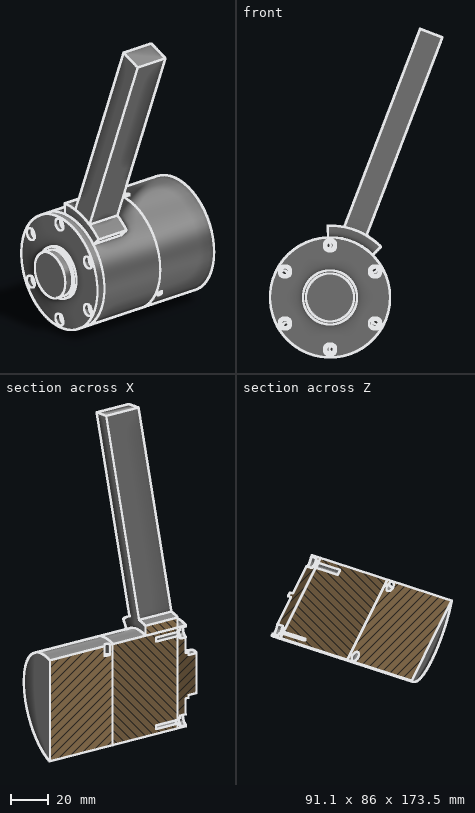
import cadquery as cq
import math


BODY_RADIUS = 63.5 / 2
REAR_LENGTH = 36.83
HUB_LENGTH = 38.1
COVER_THICKNESS = 4.76
HUB_FRONT_Y = -HUB_LENGTH
COVER_FRONT_Y = HUB_FRONT_Y - COVER_THICKNESS

SHAFT_RADIUS = 25.4 / 2
SHOULDER_RADIUS = 28.57 / 2
SHOULDER_LENGTH = 1.59
SHAFT_PROJECTION = 6.35

SCREW_COUNT = 6
SCREW_CIRCLE_RADIUS = 54.9 / 2
SCREW_FIRST_ANGLE = 90
COUNTERBORE_RADIUS = 6.5 / 2
COUNTERBORE_DEPTH = 3.2
CLEARANCE_RADIUS = 4.06 / 2
TAP_RADIUS = 3.45 / 2
TAP_DEPTH = 12.7
HUB_TURN = 2.8

SET_SCREW_COUNT = 3
SET_SCREW_FIRST_ANGLE = 90
SET_SCREW_RADIUS = 3.05 / 2
SET_SCREW_DEPTH = 6.35
SET_SCREW_Y = 3.175

LEVER_WIDTH = 12.7
PAD_DEPTH = 19.05
LEVER_SETBACK = 0.05
LEVER_DEPTH = PAD_DEPTH - LEVER_SETBACK
LEVER_ANGLE = 69.05
LEVER_TIP_RADIUS = 149.4
PAD_RADIUS = BODY_RADIUS + 6.2
PAD_START_ANGLE = 44.8
PAD_END_ANGLE = 92
ROOT_OVERLAP = 4.0


def cylinder(radius, rear_y, length):
    """Solid cylinder on the main axis, from rear_y towards the front."""
    return cq.Workplane("XZ", origin=(0, rear_y, 0)).circle(radius).extrude(length)


def polar(radius, angle):
    """X and Z of a point around the main axis."""
    turn = math.radians(angle)
    return (radius * math.cos(turn), radius * math.sin(turn))


def screw_pattern(radius, front_y, depth, turn=0):
    """Ring of cylinders that reach back by depth from front_y."""
    step = 360 / SCREW_COUNT
    centres = [
        polar(SCREW_CIRCLE_RADIUS, SCREW_FIRST_ANGLE + turn + i * step)
        for i in range(SCREW_COUNT)
    ]
    plane = cq.Workplane("XZ", origin=(0, front_y, 0))
    return plane.pushPoints(centres).circle(radius).extrude(-depth)


def make_rear_housing():
    """Rear cylinder with radial set screw holes close to its front end."""
    housing = cylinder(BODY_RADIUS, REAR_LENGTH, REAR_LENGTH)
    for i in range(SET_SCREW_COUNT):
        angle = SET_SCREW_FIRST_ANGLE + i * 360 / SET_SCREW_COUNT
        x, z = polar(BODY_RADIUS, angle)
        inward_x, inward_z = polar(-1, angle)
        hole = cq.Solid.makeCylinder(
            SET_SCREW_RADIUS,
            SET_SCREW_DEPTH,
            cq.Vector(x, SET_SCREW_Y, z),
            cq.Vector(inward_x, 0, inward_z),
        )
        housing = housing.cut(cq.Workplane(hole))
    return housing.solids()


def make_pad():
    """Curved pad that rests on the hub, flush with the front of the hub."""
    middle_angle = (PAD_START_ANGLE + PAD_END_ANGLE) / 2
    return (
        cq.Workplane("XZ", origin=(0, HUB_FRONT_Y, 0))
        .moveTo(*polar(BODY_RADIUS, PAD_START_ANGLE))
        .lineTo(*polar(PAD_RADIUS, PAD_START_ANGLE))
        .threePointArc(polar(PAD_RADIUS, middle_angle), polar(PAD_RADIUS, PAD_END_ANGLE))
        .lineTo(*polar(BODY_RADIUS, PAD_END_ANGLE))
        .threePointArc(polar(BODY_RADIUS, middle_angle), polar(BODY_RADIUS, PAD_START_ANGLE))
        .close()
        .extrude(-PAD_DEPTH)
    )


def make_lever_bar():
    """Straight rectangular bar that stands radially on the pad."""
    root_radius = PAD_RADIUS - ROOT_OVERLAP
    bar = cq.Workplane("XY").box(
        LEVER_TIP_RADIUS - root_radius,
        LEVER_DEPTH,
        LEVER_WIDTH,
        centered=(False, False, True),
    )
    bar = bar.translate((root_radius, HUB_FRONT_Y + LEVER_SETBACK, 0))
    return bar.rotate((0, 0, 0), (0, 1, 0), -LEVER_ANGLE)


def make_lever_arm():
    """Pad and bar as one body."""
    return make_pad().union(make_lever_bar()).solids()


def make_hub():
    """Middle cylinder with tapped holes for the cover screws."""
    hub = cylinder(BODY_RADIUS, 0, HUB_LENGTH)
    return hub.cut(screw_pattern(TAP_RADIUS, HUB_FRONT_Y, TAP_DEPTH, HUB_TURN)).solids()


def make_cover():
    """Front disc with a shouldered stub shaft and counterbored screw holes."""
    cover = cylinder(BODY_RADIUS, HUB_FRONT_Y, COVER_THICKNESS)
    cover = cover.union(cylinder(SHOULDER_RADIUS, COVER_FRONT_Y, SHOULDER_LENGTH))
    cover = cover.union(cylinder(SHAFT_RADIUS, COVER_FRONT_Y, SHAFT_PROJECTION))
    cover = cover.cut(screw_pattern(CLEARANCE_RADIUS, COVER_FRONT_Y, COVER_THICKNESS))
    return cover.cut(screw_pattern(COUNTERBORE_RADIUS, COVER_FRONT_Y, COUNTERBORE_DEPTH)).solids()


rear_housing = make_rear_housing()
hub = make_hub()
cover = make_cover()
lever_arm = make_lever_arm()

result = cq.Compound.makeCompound(
    [rear_housing.val(), hub.val(), cover.val(), lever_arm.val()]
)